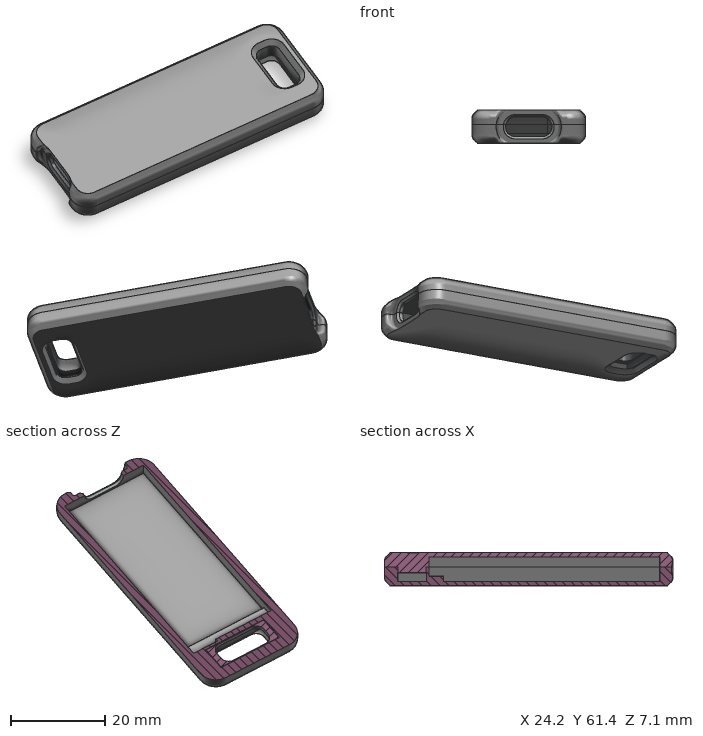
import cadquery as cq
WIDTH = 24.2
LENGTH = 61.4
HEIGHT = 7.1
CORNER_RADIUS = 4.0
EDGE_CHAMFER = 1.2
EDGE_BLEND_RADIUS = 1.55
COVER_HEIGHT = 3.15

SLOT_WIDTH = 12.0
SLOT_LENGTH = 5.4
SLOT_CORNER_RADIUS = 1.95
SLOT_CHAMFER = 1.05
SLOT_INSET = 5.9

BOSS_DEPTH = 1.2
BOSS_WALL = 0.3
BOSS_SIDE_WALL = 1.55

OPENING_WIDTH = 9.8
OPENING_HEIGHT = 4.2
OPENING_RADIUS = 2.0
OPENING_CHAMFER = 0.5
PASSAGE_LENGTH = 0.8

RECESS_DEPTH = 1.6
RECESS_MARGIN = 2.0
RECESS_FLOOR_FILLET = 0.5
RECESS_RIM_FILLET = 0.6

SIDE_WALL = 2.0
FLOOR_WALL = 1.0
SLOT_SIDE_WALL = 1.2
LEDGE_DEPTH = 5.05
LEDGE_LENGTH = 2.45
NOTCH_X = 4.0
NOTCH_LENGTH = 0.6

TOP = HEIGHT / 2
BOTTOM = -TOP
FRONT = -LENGTH / 2
REAR = LENGTH / 2
MARGIN = 0.05
PARTING_Z = TOP - COVER_HEIGHT
SLOT_Y = REAR - SLOT_INSET
BOSS_WIDTH = SLOT_WIDTH + 2 * BOSS_SIDE_WALL
BOSS_LENGTH = SLOT_LENGTH + 2 * BOSS_WALL
CAVITY_FRONT = FRONT + RECESS_DEPTH + OPENING_CHAMFER + PASSAGE_LENGTH
CAVITY_REAR = SLOT_Y - BOSS_LENGTH / 2 - SLOT_SIDE_WALL
CAVITY_HALF_WIDTH = WIDTH / 2 - SIDE_WALL
CAVITY_FLOOR = BOTTOM + FLOOR_WALL
CAVITY_CEILING = TOP - FLOOR_WALL
LEDGE_Z = TOP - LEDGE_DEPTH


def box(x_range, y_range, z_range):
    """Box spanning the given (low, high) ranges."""
    sizes = [high - low for low, high in (x_range, y_range, z_range)]
    corner = (x_range[0], y_range[0], z_range[0])
    return cq.Workplane("XY").box(*sizes, centered=False).translate(corner)


def rounded_outline(plane, width, height, radius):
    """Centred rounded rectangle, ready to extrude from the plane."""
    return plane.sketch().rect(width, height).vertices().fillet(radius).finalize()


def case_block():
    """Solid case with chamfered and blended top and bottom edges."""
    plane = cq.Workplane("XY", origin=(0, 0, BOTTOM))
    block = rounded_outline(plane, WIDTH, LENGTH, CORNER_RADIUS).extrude(HEIGHT)
    block = block.faces("<Z or >Z").chamfer(EDGE_CHAMFER)
    chamfer_z = TOP - EDGE_CHAMFER
    middle = cq.selectors.BoxSelector(
        (-WIDTH, -LENGTH, -chamfer_z - MARGIN),
        (WIDTH, LENGTH, chamfer_z + MARGIN),
    )
    upright = cq.selectors.StringSyntaxSelector("|Z")
    return block.edges(middle - upright).fillet(EDGE_BLEND_RADIUS)


def opening_prism(margin, depth):
    """Opening outline grown by margin, running from the -Y end to the given depth."""
    plane = cq.Workplane("XZ", origin=(0, FRONT, 0))
    outline = rounded_outline(
        plane, OPENING_WIDTH + 2 * margin, OPENING_HEIGHT + 2 * margin, OPENING_RADIUS + margin
    )
    return outline.extrude(-depth)


def cut_recess(block):
    """Recess open at the top and bottom, with a filleted floor and rounded rims at its two ends."""
    recess = opening_prism(RECESS_MARGIN, RECESS_DEPTH)
    recess = recess.faces(">Y").edges().fillet(RECESS_FLOOR_FILLET)
    half_width = OPENING_WIDTH / 2 + RECESS_MARGIN
    straight_wall = RECESS_DEPTH - RECESS_FLOOR_FILLET
    front_zone = cq.selectors.BoxSelector(
        (-half_width - MARGIN, FRONT - MARGIN, BOTTOM - MARGIN),
        (half_width + MARGIN, FRONT + straight_wall - MARGIN, TOP + MARGIN),
    )
    curved = cq.selectors.StringSyntaxSelector("not (|X or |Y)")
    return block.cut(recess).edges(front_zone & curved).fillet(RECESS_RIM_FILLET)


def opening_cutter():
    """Passage into the cavity with a chamfered mouth on the recess floor."""
    passage = opening_prism(0, CAVITY_FRONT - FRONT)
    plane = cq.Workplane("XZ", origin=(0, FRONT + RECESS_DEPTH, 0))
    mouth = rounded_outline(
        plane,
        OPENING_WIDTH + 2 * OPENING_CHAMFER,
        OPENING_HEIGHT + 2 * OPENING_CHAMFER,
        OPENING_RADIUS + OPENING_CHAMFER,
    ).extrude(-OPENING_CHAMFER, taper=45)
    return passage.union(mouth)


def slot_cutter():
    """Key-ring slot with a chamfered mouth on the top and bottom faces."""
    plane = cq.Workplane("XY", origin=(0, 0, BOTTOM))
    slot = rounded_outline(plane, SLOT_WIDTH, SLOT_LENGTH, SLOT_CORNER_RADIUS).extrude(HEIGHT)
    mouth = rounded_outline(
        plane,
        SLOT_WIDTH + 2 * SLOT_CHAMFER,
        SLOT_LENGTH + 2 * SLOT_CHAMFER,
        SLOT_CORNER_RADIUS + SLOT_CHAMFER,
    ).extrude(SLOT_CHAMFER, taper=45)
    return slot.union(mouth).union(mouth.mirror("XY")).translate((0, SLOT_Y, 0))


def cavity_cutter():
    """Cavity with a raised ledge and a corner notch at its +Y end."""
    full_width = (-CAVITY_HALF_WIDTH, CAVITY_HALF_WIDTH)
    ledge_front = CAVITY_REAR - LEDGE_LENGTH
    main = box(full_width, (CAVITY_FRONT, ledge_front), (CAVITY_FLOOR, CAVITY_CEILING))
    above_ledge = box(full_width, (ledge_front, CAVITY_REAR), (LEDGE_Z, CAVITY_CEILING))
    notch = box(
        (NOTCH_X, CAVITY_HALF_WIDTH),
        (CAVITY_REAR, CAVITY_REAR + NOTCH_LENGTH),
        (LEDGE_Z, CAVITY_CEILING),
    )
    return main.union(above_ledge).union(notch)


def boss_region(z_low):
    """Rectangular region around the slot, from z_low up to the parting plane."""
    return box(
        (-BOSS_WIDTH / 2, BOSS_WIDTH / 2),
        (SLOT_Y - BOSS_LENGTH / 2, SLOT_Y + BOSS_LENGTH / 2),
        (z_low, PARTING_Z),
    )


def hollow_case():
    """Whole case with its opening, cavity and slot, before it is parted."""
    case = cut_recess(case_block())
    return case.cut(opening_cutter()).cut(cavity_cutter()).cut(slot_cutter())


def cover_region():
    """Everything above the parting plane, plus the boss."""
    above = box((-WIDTH, WIDTH), (-LENGTH, LENGTH), (PARTING_Z, HEIGHT))
    return above.union(boss_region(PARTING_Z - BOSS_DEPTH))


case = hollow_case()
cover = case.intersect(cover_region())
base = case.cut(cover_region()).cut(boss_region(CAVITY_FLOOR))
result = cq.Compound.makeCompound([cover.solids().val(), base.solids().val()])